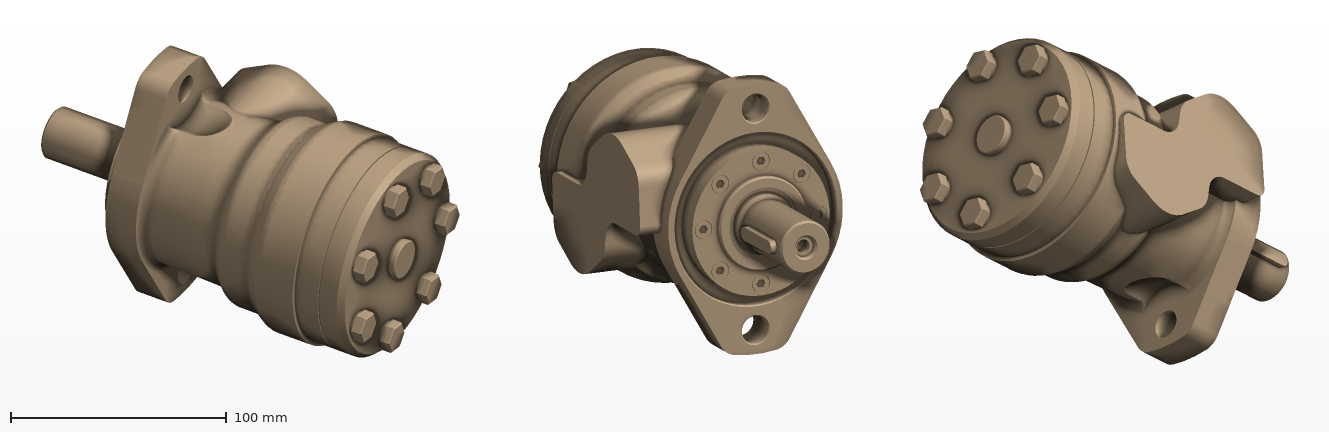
import cadquery as cq
import math


SHAFT_DIA = 25.5
COLLAR_DIA = 29.0
COLLAR_CONE_START = 42.7
COLLAR_START = 44.2
SHAFT_CHAMFER = 1.0
CENTRE_MOUTH_DIA = 11.9
CENTRE_BORE_DIA = 10.0
CENTRE_BORE_DEPTH = 2.9
CENTRE_DRILL_DIA = 6.7
CENTRE_DRILL_DEPTH = 9.5
DRILL_TIP_ANGLE = 120

KEY_START = 5.0
KEY_LENGTH = 32.3
KEY_WIDTH = 6.3
KEY_HEIGHT = 6.3
KEY_TOP = 15.5

SEAL_RING_FRONT = 45.4
COVER_DISC_FRONT = 48.5
FLANGE_FRONT = 54.4
FLANGE_BACK = 70.8
NECK_END = 106.8
WAIST_CONE_START = 112.5
WAIST_CONE_END = 114.8
WAIST_END = 129.0
BARREL_CONE_START = 133.2
BARREL_CONE_END = 138.4
HOUSING_END = 159.6
PLATE_END = 163.6
GEAR_RING_END = 172.0
GROOVE_END = 172.8
END_COVER_BACK = 185.0
BOLT_HEAD_FRONT = 186.2
PLUG_SEAL_BACK = 186.8
PLUG_BACK = 189.3
OVERALL_LENGTH = 191.4

NECK_RADIUS = 40.0
NECK_END_RADIUS = 40.8
NECK_FILLET = 4.4
WAIST_RADIUS = 46.9
BARREL_RADIUS = 51.9
WAIST_CONE_SLOPE = math.radians(42)
BARREL_CONE_SLOPE = math.radians(30.5)

FLANGE_TIP_RADIUS = 64.9
FLANGE_SIDE_RADIUS = 44.8
FLANGE_SIDE_ANGLE = math.radians(30)
FLANGE_CORNER_RADIUS = 10.0
MOUNT_HOLE_DIA = 13.4
MOUNT_HOLE_OFFSET = 53.2
MOUNT_HOLE_CHAMFER = 0.5

CLEARANCE_RADIUS = 19.1
CLEARANCE_END = 79.8

RECESS_DIA = 82.5
RECESS_DEPTH = 5.7
RECESS_CHAMFER = 0.5
COVER_DISC_DIA = 70.2
SEAL_RING_DIA = 45.2
SEAL_RING_CHAMFER = 0.8
SEAL_BORE_DIA = 34.8
SEAL_BORE_DEPTH = 1.0
SEAL_LIP_DIA = 31.4
SEAL_LIP_DEPTH = 2.0
SCREW_COUNT = 8
SCREW_CIRCLE_RADIUS = 29.5
SCREW_SINK_DIA = 9.0
SCREW_HEAD_DIA = 8.5
SCREW_GAP_DEPTH = 1.0
SOCKET_FLATS = 4.0
SOCKET_DEPTH = 2.3

BLOCK_FACE_Y = 55.1
BLOCK_START = 62.8
BLOCK_END = 158.0
BLOCK_CENTRE_X = (BLOCK_START + BLOCK_END) / 2
BOSS_X = 92.0
BOSS_Z = 18.2
BOSS_RADIUS = 19.7
LUG_X = 76.0
LUG_Z = 18.5
LUG_RADIUS = 11.7
LUG_TOP_ANGLE = 119
LUG_SIDE_ANGLE = 175
TAIL_START = 131.0
TAIL_TOP_Z = 4.4
TAIL_CORNER_RADIUS = 4.8
SHOULDER_START_X = 114.3
SHOULDER_END_X = 119.8
SHOULDER_SLOPE = math.radians(34)
STEEP_SLOPE = math.radians(81.5)

END_DIA = 100.0
GROOVE_DEPTH = 0.5
END_CHAMFER_LENGTH = 2.9
END_CHAMFER_HEIGHT = 2.5
BOLT_COUNT = 7
BOLT_CIRCLE_RADIUS = 39.2
FIRST_BOLT_ANGLE = -3
BOLT_FLATS = 13.0
BOLT_CORNER_ANGLE = -10
BOLT_CHAMFER = 0.5
PLUG_SEAL_DIA = 18.5
PLUG_DIA = 19.0
PLUG_CHAMFER = 0.5


def cylinder(start, end, diameter, y=0, z=0):
    return cq.Workplane("YZ", origin=(start, y, z)).circle(diameter / 2).extrude(end - start)


def countersink(start, diameter, depth, z=0):
    """45 degree cone that chamfers the mouth of a hole opening at x = start."""
    radius = diameter / 2
    axis = cq.Vector(1, 0, 0)
    return cq.Workplane(cq.Solid.makeCone(radius + depth, radius, depth, cq.Vector(start, 0, z), axis))


def hexagon(start, end, flats, y=0, z=0, corner_angle=0):
    corners_dia = flats / math.cos(math.pi / 6)
    prism = cq.Workplane("YZ").polygon(6, corners_dia).extrude(end - start)
    return prism.rotate((0, 0, 0), (1, 0, 0), corner_angle).translate((start, y, z))


def circle_places(count, radius, first_angle=0):
    """(y, z) places evenly spread on a circle, with angles from +Y towards +Z."""
    angles = [math.radians(first_angle + 360 / count * i) for i in range(count)]
    return [(radius * math.cos(a), radius * math.sin(a)) for a in angles]


def on_circle(x, z, radius, angle_degrees):
    angle = math.radians(angle_degrees)
    return (x + radius * math.cos(angle), z + radius * math.sin(angle))


def make_key():
    return (
        cq.Workplane("XZ", origin=(KEY_START + KEY_LENGTH / 2, KEY_TOP, 0))
        .slot2D(KEY_LENGTH, KEY_WIDTH)
        .extrude(KEY_HEIGHT)
    )


def centre_hole():
    mouth_depth = (CENTRE_MOUTH_DIA - CENTRE_BORE_DIA) / 2
    tip_depth = CENTRE_DRILL_DIA / 2 / math.tan(math.radians(DRILL_TIP_ANGLE / 2))
    return (
        cq.Workplane("XY")
        .polyline([
            (0, 0),
            (0, CENTRE_MOUTH_DIA / 2),
            (mouth_depth, CENTRE_BORE_DIA / 2),
            (CENTRE_BORE_DEPTH, CENTRE_BORE_DIA / 2),
            (CENTRE_BORE_DEPTH, CENTRE_DRILL_DIA / 2),
            (CENTRE_DRILL_DEPTH, CENTRE_DRILL_DIA / 2),
            (CENTRE_DRILL_DEPTH + tip_depth, 0),
        ])
        .close()
        .revolve(360, (0, 0, 0), (1, 0, 0))
    )


def make_shaft(key):
    body = (
        cq.Workplane("XY")
        .polyline([
            (0, 0),
            (0, SHAFT_DIA / 2 - SHAFT_CHAMFER),
            (SHAFT_CHAMFER, SHAFT_DIA / 2),
            (COLLAR_CONE_START, SHAFT_DIA / 2),
            (COLLAR_START, COLLAR_DIA / 2),
            (FLANGE_BACK, COLLAR_DIA / 2),
            (FLANGE_BACK, 0),
        ])
        .close()
        .revolve(360, (0, 0, 0), (1, 0, 0))
    )
    return body.cut(centre_hole()).cut(key)


def housing_barrel():
    waist_foot = NECK_END_RADIUS + (WAIST_CONE_START - NECK_END) * math.tan(WAIST_CONE_SLOPE / 2)
    waist_head = waist_foot + (WAIST_CONE_END - WAIST_CONE_START) * math.tan(WAIST_CONE_SLOPE)
    waist_start = WAIST_CONE_END + (WAIST_RADIUS - waist_head) / math.tan(WAIST_CONE_SLOPE / 2)
    barrel_foot = WAIST_RADIUS + (BARREL_CONE_START - WAIST_END) * math.tan(BARREL_CONE_SLOPE / 2)
    barrel_head = barrel_foot + (BARREL_CONE_END - BARREL_CONE_START) * math.tan(BARREL_CONE_SLOPE)
    barrel_start = BARREL_CONE_END + (BARREL_RADIUS - barrel_head) / math.tan(BARREL_CONE_SLOPE / 2)
    return (
        cq.Workplane("XY")
        .moveTo(FLANGE_FRONT, 0)
        .lineTo(FLANGE_FRONT, NECK_RADIUS)
        .lineTo(FLANGE_BACK, NECK_RADIUS)
        .lineTo(FLANGE_BACK, NECK_RADIUS + NECK_FILLET)
        .radiusArc((FLANGE_BACK + NECK_FILLET, NECK_RADIUS), -NECK_FILLET)
        .lineTo(NECK_END, NECK_END_RADIUS)
        .tangentArcPoint((WAIST_CONE_START, waist_foot), relative=False)
        .lineTo(WAIST_CONE_END, waist_head)
        .tangentArcPoint((waist_start, WAIST_RADIUS), relative=False)
        .lineTo(WAIST_END, WAIST_RADIUS)
        .tangentArcPoint((BARREL_CONE_START, barrel_foot), relative=False)
        .lineTo(BARREL_CONE_END, barrel_head)
        .tangentArcPoint((barrel_start, BARREL_RADIUS), relative=False)
        .lineTo(HOUSING_END, BARREL_RADIUS)
        .lineTo(HOUSING_END, 0)
        .close()
        .revolve(360, (0, 0, 0), (1, 0, 0))
    )


def flange():
    side_y = FLANGE_SIDE_RADIUS * math.cos(FLANGE_SIDE_ANGLE)
    side_z = FLANGE_SIDE_RADIUS * math.sin(FLANGE_SIDE_ANGLE)
    tip_angle = FLANGE_SIDE_ANGLE + math.acos(FLANGE_SIDE_RADIUS / FLANGE_TIP_RADIUS)
    tip_y = FLANGE_TIP_RADIUS * math.cos(tip_angle)
    tip_z = FLANGE_TIP_RADIUS * math.sin(tip_angle)
    plate = (
        cq.Workplane("YZ", origin=(FLANGE_FRONT, 0, 0))
        .moveTo(side_y, -side_z)
        .threePointArc((FLANGE_SIDE_RADIUS, 0), (side_y, side_z))
        .lineTo(tip_y, tip_z)
        .threePointArc((0, FLANGE_TIP_RADIUS), (-tip_y, tip_z))
        .lineTo(-side_y, side_z)
        .threePointArc((-FLANGE_SIDE_RADIUS, 0), (-side_y, -side_z))
        .lineTo(-tip_y, -tip_z)
        .threePointArc((0, -FLANGE_TIP_RADIUS), (tip_y, -tip_z))
        .close()
        .extrude(FLANGE_BACK - FLANGE_FRONT)
    )
    return plate.edges("|X").edges(">Z or <Z").fillet(FLANGE_CORNER_RADIUS)


def mount_holes():
    holes = []
    for z in (MOUNT_HOLE_OFFSET, -MOUNT_HOLE_OFFSET):
        hole = cylinder(FLANGE_FRONT, FLANGE_BACK, MOUNT_HOLE_DIA, z=z)
        holes.append(hole.union(countersink(FLANGE_FRONT, MOUNT_HOLE_DIA, MOUNT_HOLE_CHAMFER, z)))
    return holes


def bolt_clearance(z):
    """Cutter in line with a mounting hole, behind the flange, with a ball end."""
    groove = cylinder(FLANGE_BACK, CLEARANCE_END, 2 * CLEARANCE_RADIUS, z=z)
    ball = cq.Workplane("XY", origin=(CLEARANCE_END, 0, z)).sphere(CLEARANCE_RADIUS)
    ahead_of_flange_back = cylinder(FLANGE_FRONT, FLANGE_BACK, 2 * CLEARANCE_RADIUS, z=z)
    return groove.union(ball).cut(ahead_of_flange_back)


def half_turn(point):
    return (2 * BLOCK_CENTRE_X - point[0], -point[1])


def port_block():
    foot = (BLOCK_START, TAIL_CORNER_RADIUS - TAIL_TOP_Z)
    lug_side = on_circle(LUG_X, LUG_Z, LUG_RADIUS, LUG_SIDE_ANGLE)
    lug_middle = on_circle(LUG_X, LUG_Z, LUG_RADIUS, (LUG_TOP_ANGLE + LUG_SIDE_ANGLE) / 2)
    lug_top = on_circle(LUG_X, LUG_Z, LUG_RADIUS, LUG_TOP_ANGLE)
    boss_start = on_circle(BOSS_X, BOSS_Z, BOSS_RADIUS, LUG_TOP_ANGLE)
    boss_top = (BOSS_X, BOSS_Z + BOSS_RADIUS)
    boss_end = on_circle(BOSS_X, BOSS_Z, BOSS_RADIUS, 90 - math.degrees(SHOULDER_SLOPE))

    shoulder_z = boss_end[1] - (SHOULDER_START_X - boss_end[0]) * math.tan(SHOULDER_SLOPE)
    mean_slope = (SHOULDER_SLOPE + STEEP_SLOPE) / 2
    steep_top_z = shoulder_z - (SHOULDER_END_X - SHOULDER_START_X) * math.tan(mean_slope)
    blend_slope = math.tan(STEEP_SLOPE / 2)
    excess_drop = steep_top_z - TAIL_TOP_Z - (TAIL_START - SHOULDER_END_X) * blend_slope
    steep_length_x = excess_drop / (math.tan(STEEP_SLOPE) - blend_slope)
    steep_foot_x = SHOULDER_END_X + steep_length_x
    steep_foot_z = TAIL_TOP_Z + (TAIL_START - steep_foot_x) * blend_slope

    outline = cq.Workplane("XZ").moveTo(*foot)
    for place in (lambda point: point, half_turn):
        outline = (
            outline.lineTo(*place(lug_side))
            .threePointArc(place(lug_middle), place(lug_top))
            .lineTo(*place(boss_start))
            .threePointArc(place(boss_top), place(boss_end))
            .lineTo(*place((SHOULDER_START_X, shoulder_z)))
            .tangentArcPoint(place((SHOULDER_END_X, steep_top_z)), relative=False)
            .lineTo(*place((steep_foot_x, steep_foot_z)))
            .tangentArcPoint(place((TAIL_START, TAIL_TOP_Z)), relative=False)
            .lineTo(*place((BLOCK_END - TAIL_CORNER_RADIUS, TAIL_TOP_Z)))
            .radiusArc(place(half_turn(foot)), TAIL_CORNER_RADIUS)
        )
    return outline.close().extrude(-BLOCK_FACE_Y)


def front_recess():
    """Ring-shaped recess around the cover disc, chamfered at its mouth."""
    recess = cylinder(FLANGE_FRONT, FLANGE_FRONT + RECESS_DEPTH, RECESS_DIA)
    mouth = countersink(FLANGE_FRONT, RECESS_DIA, RECESS_CHAMFER)
    core = cylinder(FLANGE_FRONT, FLANGE_FRONT + RECESS_DEPTH, COVER_DISC_DIA)
    return recess.union(mouth).cut(core)


def screw_cuts():
    """Gap around each sunk screw head, and its hexagon socket."""
    cuts = []
    gap_end = COVER_DISC_FRONT + SCREW_GAP_DEPTH
    socket_end = COVER_DISC_FRONT + SOCKET_DEPTH
    for y, z in circle_places(SCREW_COUNT, SCREW_CIRCLE_RADIUS):
        sink = cylinder(COVER_DISC_FRONT, gap_end, SCREW_SINK_DIA, y, z)
        head = cylinder(COVER_DISC_FRONT, gap_end, SCREW_HEAD_DIA, y, z)
        socket = hexagon(COVER_DISC_FRONT, socket_end, SOCKET_FLATS, y, z)
        cuts += [sink.cut(head), socket]
    return cuts


def make_housing():
    disc = cylinder(COVER_DISC_FRONT, FLANGE_FRONT, COVER_DISC_DIA)
    seal_ring = cylinder(SEAL_RING_FRONT, COVER_DISC_FRONT, SEAL_RING_DIA)
    seal_ring = seal_ring.faces("<X").edges().chamfer(SEAL_RING_CHAMFER)
    body = housing_barrel().union(port_block())
    for z in (MOUNT_HOLE_OFFSET, -MOUNT_HOLE_OFFSET):
        body = body.cut(bolt_clearance(z))
    body = body.union(flange()).union(disc).union(seal_ring)
    for cutter in [front_recess()] + mount_holes() + screw_cuts():
        body = body.cut(cutter)
    body = body.cut(cylinder(SEAL_RING_FRONT, SEAL_RING_FRONT + SEAL_BORE_DEPTH, SEAL_BORE_DIA))
    body = body.cut(cylinder(SEAL_RING_FRONT, SEAL_RING_FRONT + SEAL_LIP_DEPTH, SEAL_LIP_DIA))
    return body.cut(cylinder(SEAL_RING_FRONT, FLANGE_BACK, COLLAR_DIA))


def make_end_cover():
    end_radius = END_DIA / 2
    cover = (
        cq.Workplane("XY")
        .polyline([
            (GEAR_RING_END, 0),
            (GEAR_RING_END, end_radius - GROOVE_DEPTH),
            (GROOVE_END, end_radius - GROOVE_DEPTH),
            (GROOVE_END, end_radius),
            (END_COVER_BACK - END_CHAMFER_LENGTH, end_radius),
            (END_COVER_BACK, end_radius - END_CHAMFER_HEIGHT),
            (END_COVER_BACK, 0),
        ])
        .close()
        .revolve(360, (0, 0, 0), (1, 0, 0))
    )
    for y, z in circle_places(BOLT_COUNT, BOLT_CIRCLE_RADIUS, FIRST_BOLT_ANGLE):
        washer_face = cylinder(END_COVER_BACK, BOLT_HEAD_FRONT, BOLT_FLATS, y, z)
        head = hexagon(BOLT_HEAD_FRONT, OVERALL_LENGTH, BOLT_FLATS, y, z, BOLT_CORNER_ANGLE)
        head = head.faces(">X").edges().chamfer(BOLT_CHAMFER)
        cover = cover.union(washer_face).union(head)
    plug_seal = cylinder(END_COVER_BACK, PLUG_SEAL_BACK, PLUG_SEAL_DIA)
    plug = cylinder(PLUG_SEAL_BACK, PLUG_BACK, PLUG_DIA).faces(">X").chamfer(PLUG_CHAMFER)
    return cover.union(plug_seal).union(plug)


key = make_key()
shaft = make_shaft(key)
housing = make_housing()
channel_plate = cylinder(HOUSING_END, PLATE_END, END_DIA)
gear_ring = cylinder(PLATE_END, GEAR_RING_END, END_DIA)
end_cover = make_end_cover()

result = cq.Compound.makeCompound([
    housing.val(),
    shaft.val(),
    key.val(),
    channel_plate.val(),
    gear_ring.val(),
    end_cover.val(),
])